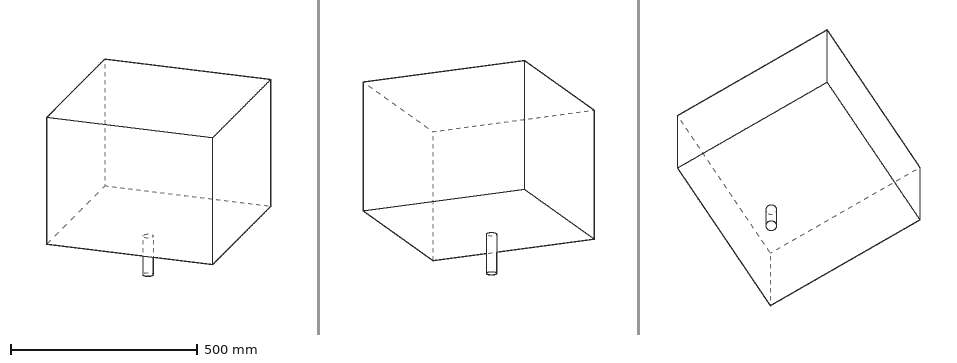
import cadquery as cq

width = 472.5
depth = 473.5
total_height = 475.0
housing_height = 364.0

stem_diameter = 28.5
stem_length = total_height - housing_height
stem_offset_y = -87.0

housing = cq.Workplane("XY").box(width, depth, housing_height, centered=(True, True, False))

stem = (
    cq.Workplane("XY")
    .center(0, stem_offset_y)
    .circle(stem_diameter / 2)
    .extrude(-stem_length)
)

result = housing.union(stem)